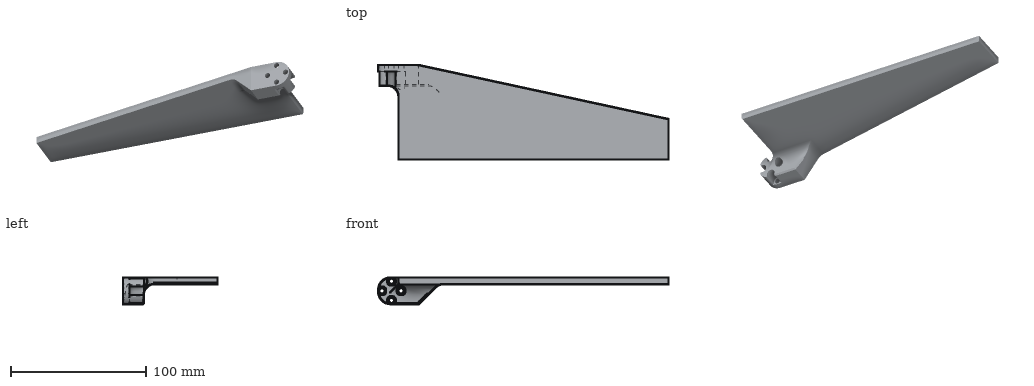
import cadquery as cq
import math

length = 215.0
width = 70.0
tip_width = 30.0
blade_thickness = 5.2
blade_left = 15.0
root_fillet = 7.5

hub_height = 20.0
hub_radius = hub_height / 2
hub_depth = 15.5
arm_bottom_end = 30.0
taper_start = 30.0
arm_fillet = 7.5
front_chamfer = 1.0

bevel_width = 0.6
bevel_height = 1.3

bolt_radius = 7.0
hole_diameter = 4.0
bore_radius = 3.2
bore_floor = 5.0
lip_radius = 1.0

blade_bottom = hub_height - blade_thickness
hub_front = -hub_depth
blade_front = -width
overrun = 2.2


def make_hub():
    """Round-ended hub with an arm that rises at 45 degrees to the blade."""
    arm_top_end = arm_bottom_end + blade_bottom
    tangent_length = arm_fillet * math.tan(math.radians(22.5))
    slope_step = tangent_length * math.sqrt(0.5)
    mid_turn = math.radians(22.5)
    fillet_x = arm_top_end + tangent_length
    fillet_z = blade_bottom - arm_fillet
    return (
        cq.Workplane("XZ")
        .moveTo(hub_radius, 0)
        .lineTo(arm_bottom_end, 0)
        .lineTo(arm_top_end - slope_step, blade_bottom - slope_step)
        .threePointArc(
            (fillet_x - arm_fillet * math.sin(mid_turn), fillet_z + arm_fillet * math.cos(mid_turn)),
            (fillet_x, blade_bottom),
        )
        .lineTo(fillet_x, hub_height)
        .lineTo(hub_radius, hub_height)
        .threePointArc((0, hub_radius), (hub_radius, 0))
        .close()
        .extrude(hub_depth + root_fillet)
    )


def make_front_chamfer():
    """Cutter for the hub's front edge, along the flat bottom and the slope."""
    bottom = (
        cq.Workplane("YZ", origin=(hub_radius, 0, 0))
        .polyline([(hub_front, 0), (hub_front + front_chamfer, 0), (hub_front, front_chamfer)])
        .close()
        .extrude(arm_bottom_end - hub_radius)
    )
    slope_plane = cq.Plane(origin=(arm_bottom_end, 0, 0), xDir=(0, 1, 0), normal=(1, 0, 1))
    slope = (
        cq.Workplane(slope_plane)
        .polyline([(hub_front, 0), (hub_front + front_chamfer, 0), (hub_front, front_chamfer)])
        .close()
        .extrude((blade_bottom - root_fillet) * math.sqrt(2))
    )
    return bottom.union(slope)


def make_blade():
    """Tapered plate whose left and lower sides curve out to the hub's front face."""
    mid_arc = root_fillet * (1 - math.sqrt(0.5))
    fillet_front = hub_front - root_fillet
    plan = (
        cq.Workplane("XY")
        .moveTo(blade_left - root_fillet, hub_front)
        .threePointArc((blade_left - mid_arc, hub_front - mid_arc), (blade_left, fillet_front))
        .lineTo(blade_left, blade_front)
        .lineTo(length, blade_front)
        .lineTo(length, 0)
        .lineTo(blade_left, 0)
        .lineTo(blade_left, hub_front)
        .close()
        .extrude(hub_height)
    )
    side = (
        cq.Workplane("YZ")
        .moveTo(hub_front, blade_bottom - root_fillet)
        .threePointArc((hub_front - mid_arc, blade_bottom - mid_arc), (fillet_front, blade_bottom))
        .lineTo(blade_front, blade_bottom)
        .lineTo(blade_front, hub_height)
        .lineTo(0, hub_height)
        .lineTo(0, blade_bottom)
        .lineTo(hub_front, blade_bottom)
        .close()
        .extrude(length)
    )
    root = plan.intersect(side).intersect(make_hub())
    plate = plan.intersect(
        cq.Workplane("XY").box(length, width, blade_thickness, centered=False)
        .translate((0, blade_front, blade_bottom))
    )
    return plate.union(root).cut(make_edge_bevel())


def make_edge_bevel():
    """Cutter for the lower left edge of the blade, in front of the root fillet."""
    return (
        cq.Workplane("XZ", origin=(blade_left, hub_front - root_fillet, blade_bottom))
        .polyline([(0, 0), (bevel_width, 0), (0, bevel_height)])
        .close()
        .extrude(width - hub_depth - root_fillet)
    )


def make_taper():
    """Cutter behind the slanted back edge, which also trims the arm."""
    return (
        cq.Workplane("XY")
        .polyline([(taper_start, 0), (length, 0), (length, blade_front + tip_width)])
        .close()
        .extrude(hub_height)
    )


def front_plane():
    """Workplane through the hub centre, facing forward, at the bore floor."""
    return cq.Workplane("XZ", origin=(hub_radius, -bore_floor, hub_radius))


def make_bore_mouth(right_is_flat):
    """Opening of a bore through the top of the hub, with rounded lips."""
    bore_depth = hub_depth + root_fillet
    lip_reach = bore_radius + lip_radius
    lip_orbit = hub_radius - lip_radius
    round_z = (lip_orbit**2 - lip_reach**2 + bolt_radius**2) / (2 * bolt_radius)
    round_x = math.sqrt(lip_orbit**2 - round_z**2)
    stretch = (hub_radius + overrun) / lip_orbit
    left = (-round_x, round_z)
    left_out = (-round_x * stretch, round_z * stretch)
    if right_is_flat:
        right = (math.sqrt(lip_reach**2 - (lip_orbit - bolt_radius) ** 2), lip_orbit)
        right_out = (right[0], hub_radius + overrun)
    else:
        right = (round_x, round_z)
        right_out = (-left_out[0], left_out[1])
    peak = (0, hub_radius + 2 * overrun)
    mouth = (
        front_plane()
        .polyline([(0, bolt_radius), left, left_out, peak, right_out, right])
        .close()
        .extrude(bore_depth)
    )
    lips = front_plane().pushPoints([left, right]).circle(lip_radius).extrude(bore_depth)
    return mouth.cut(lips)


def cut_screw_holes(body):
    """Cut the holes, their bores and the three mouths through the hub side."""
    centres = [(0, bolt_radius), (0, -bolt_radius), (bolt_radius, 0), (-bolt_radius, 0)]
    bores = front_plane().pushPoints(centres).circle(bore_radius).extrude(hub_depth + root_fillet)
    holes = front_plane().pushPoints(centres).circle(hole_diameter / 2).extrude(-bore_floor)
    hub_axis = ((hub_radius, 0, hub_radius), (hub_radius, 1, hub_radius))
    top_mouth = make_bore_mouth(right_is_flat=True)
    bottom_mouth = top_mouth.mirror("XY", (hub_radius, 0, hub_radius))
    left_mouth = make_bore_mouth(right_is_flat=False).rotate(*hub_axis, -90)
    for cutter in (bores, holes, top_mouth, bottom_mouth, left_mouth):
        body = body.cut(cutter)
    return body


hub_block = cq.Workplane("XY").box(length, hub_depth, hub_height, centered=False).translate((0, hub_front, 0))
hub = make_hub().intersect(hub_block).cut(make_front_chamfer())
body = hub.union(make_blade()).cut(make_taper())
result = cut_screw_holes(body)